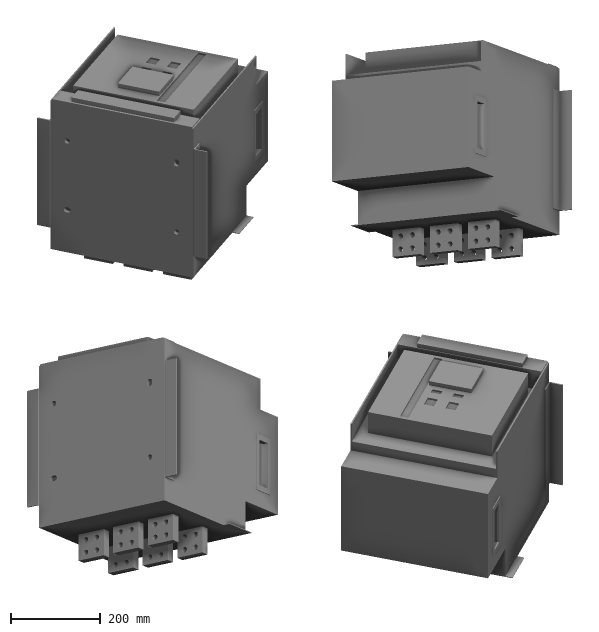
import cadquery as cq


body_width = 345.0
body_depth = 308.5
body_height = 379.0
wall_depth = 366.0
total_depth = 432.0
rear_block_bottom = 77.7
rear_block_top = 307.0
sheet = 3.0
deck_height = 331.0

fold_top = 382.3
fold_depth = 43.5
fold_width = body_width - 2 * sheet
strip_size = (248.0, 37.0)
strip_front = 5.0
strip_top = 393.5

mount_diameter = 13.0
mount_slot_length = 17.0
mount_hole_depth = 9.0
mount_x = 132.0
mount_low_z = 108.0
mount_high_z = 283.5

panel_size = (291.0, 256.0)
panel_front = 66.5
panel_top = 388.0
pad_size = (100.0, 84.5)
pad_front = 95.5
pad_top = 399.0
groove_size = (20.0, 241.5)
groove_x = 63.0
groove_front = 74.0
panel_recess_depth = 4.5
window_x = 25.5
window_width = 23.5
window_rows = ((193.0, 12.5), (227.2, 27.0))

bezel_front, bezel_depth = 350.5, 50.5
bezel_bottom, bezel_height = 115.5, 131.5
bezel_thickness = 2.0
grip_diameter = 32.5
grip_height = 106.3

angle_span = 410.0
angle_leg = 31.0
bend_radius = 2.8
angle_bottom, angle_top = 54.5, 326.5

foot_reach = 189.0
foot_front = 226.0
foot_thickness = 2.0

bar_width, bar_thickness, bar_length = 69.5, 20.0, 61.0
bar_pitch = 95.0
bar_fronts = (92.0, 204.2)
bar_hole_diameter = 13.0
bar_hole_pitch = 30.0
bar_hole_edge = 15.0


def block(x, y, z):
    """Box spanning the given (low, high) ranges."""
    size = [high - low for low, high in (x, y, z)]
    return cq.Workplane("XY").box(*size, centered=False).translate((x[0], y[0], z[0]))


def centred_block(size, front, z, x=0):
    """Box of plan size (width, depth), centred at x and starting at Y = front."""
    return block((x - size[0] / 2, x + size[0] / 2), (front, front + size[1]), z)


def both_sides(shape):
    """The shape together with its mirror image across X = 0."""
    return shape.union(shape.mirror("YZ"))


def make_enclosure():
    side_profile = [
        (0, 0),
        (body_depth, 0),
        (body_depth, rear_block_bottom),
        (total_depth, rear_block_bottom),
        (total_depth, rear_block_top),
        (wall_depth, rear_block_top),
        (wall_depth, body_height),
        (0, body_height),
    ]
    body = cq.Workplane("YZ").polyline(side_profile).close().extrude(body_width / 2, both=True)
    deck_size = (fold_width, wall_depth - fold_depth)
    body = body.cut(centred_block(deck_size, fold_depth, (deck_height, body_height)))
    fold = centred_block((fold_width, fold_depth), 0, (deck_height, fold_top))
    strip = centred_block(strip_size, strip_front, (deck_height, strip_top))
    return body.union(fold).union(strip)


def make_panel():
    panel = centred_block(panel_size, panel_front, (deck_height, panel_top))
    recess_z = (panel_top - panel_recess_depth, panel_top)
    panel = panel.cut(centred_block(groove_size, groove_front, recess_z, groove_x))
    for front, length in window_rows:
        window = centred_block((window_width, length), front, recess_z, window_x)
        panel = panel.cut(both_sides(window))
    return panel.union(centred_block(pad_size, pad_front, (deck_height, pad_top)))


def make_mounting_holes():
    """Two round holes and two slots, each pair on one diagonal of the front plate."""
    plane = cq.Workplane("XZ")
    round_points = [(-mount_x, mount_high_z), (mount_x, mount_low_z)]
    holes = plane.pushPoints(round_points).circle(mount_diameter / 2).extrude(-mount_hole_depth)
    for x, z, angle in ((-mount_x, mount_low_z, 0), (mount_x, mount_high_z, 90)):
        slot = plane.center(x, z).slot2D(mount_slot_length, mount_diameter, angle).extrude(-mount_hole_depth)
        holes = holes.union(slot)
    return holes


def make_bezels():
    bezel = block(
        (-body_width / 2 - bezel_thickness, -body_width / 2),
        (bezel_front, bezel_front + bezel_depth),
        (bezel_bottom, bezel_bottom + bezel_height),
    )
    return both_sides(bezel)


def make_grips():
    """Half-round hollows centred in the bezels, with upright axes on the bezel faces."""
    grip_bottom = bezel_bottom + (bezel_height - grip_height) / 2
    grip = (
        cq.Workplane("XY", origin=(0, 0, grip_bottom))
        .center(-body_width / 2 - bezel_thickness, bezel_front + bezel_depth / 2)
        .circle(grip_diameter / 2)
        .extrude(grip_height)
    )
    return both_sides(grip)


def make_angles():
    z = (angle_bottom, angle_top)
    flange = block((-angle_span / 2, -body_width / 2), (0, sheet), z)
    leg = block((-body_width / 2 - sheet, -body_width / 2), (0, angle_leg), z)
    angle = flange.union(leg).edges("|Z and (>X and <Y)").fillet(bend_radius)
    return both_sides(angle)


def make_feet():
    foot = block((-foot_reach, -body_width / 2), (foot_front, body_depth), (0, foot_thickness))
    return both_sides(foot)


def make_bars():
    bars = cq.Workplane("XY")
    for front in bar_fronts:
        for x in (-bar_pitch, 0, bar_pitch):
            bar = centred_block((bar_width, bar_thickness), front, (-bar_length, 0), x)
            holes = (
                cq.Workplane("XZ", origin=(x, front, bar_hole_edge + bar_hole_pitch / 2 - bar_length))
                .rarray(bar_hole_pitch, bar_hole_pitch, 2, 2)
                .circle(bar_hole_diameter / 2)
                .extrude(-bar_thickness)
            )
            bars = bars.union(bar.cut(holes))
    return bars


result = (
    make_enclosure()
    .union(make_panel())
    .cut(make_mounting_holes())
    .union(make_bezels())
    .cut(make_grips())
    .union(make_angles())
    .union(make_feet())
    .union(make_bars())
)